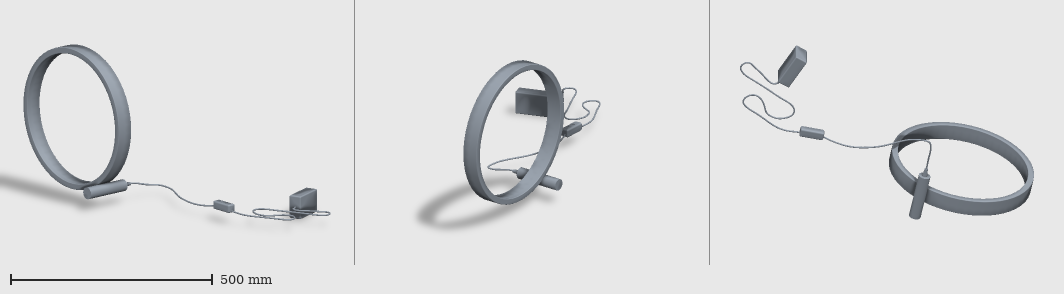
import cadquery as cq
import math

RING_RADIUS = 180.0
RING_WALL = 15.0
RING_DEPTH = 42.0
RING_EDGE = 2.0

POST_DIAMETER = 30.0
POST_LENGTH = 120.0
POST_X = 106.0
POST_Z = -163.0

RELIEF_BASE_RADIUS = 6.5
RELIEF_TIP_RADIUS = 4.0
RELIEF_LENGTH = 22.0

CABLE_RADIUS = 2.0
CABLE_OVERRUN = 2.5
LAMP_CABLE_LOW_Z = -180.0
MAINS_CABLE_Z = -175.0

SWITCH_LENGTH = 60.0
SWITCH_WIDTH = 22.0
SWITCH_HEIGHT = 21.0
SWITCH_START_X = 375.0
SWITCH_Y = 128.0
SWITCH_BASE_Z = -179.0
SWITCH_EDGE = 4.0
SWITCH_INLET_Y = 126.5
SWITCH_INLET_Z = -172.0
ROCKER_LENGTH = 22.5
ROCKER_WIDTH = 8.0
ROCKER_TILT = 2.0
ROCKER_START = 18.5

ADAPTER_LENGTH = 87.0
ADAPTER_WIDTH = 32.0
ADAPTER_HEIGHT = 58.5
ADAPTER_X = 493.0
ADAPTER_Y = 313.0
ADAPTER_TURN = 20.0
ADAPTER_EDGE = 3.0
ADAPTER_BASE_Z = -206.0

POST_RADIUS = POST_DIAMETER / 2
POST_BACK_Y = POST_LENGTH / 2
RELIEF_TIP_Y = POST_BACK_Y + RELIEF_LENGTH
SWITCH_END_X = SWITCH_START_X + SWITCH_LENGTH


def cylinder_along_y(radius, length, x, y_start, z):
    solid = cq.Solid.makeCylinder(radius, length, cq.Vector(x, y_start, z), cq.Vector(0, 1, 0))
    return cq.Workplane(solid)


def make_ring():
    outer = cylinder_along_y(RING_RADIUS, RING_DEPTH, 0, -RING_DEPTH / 2, 0)
    bore = cylinder_along_y(RING_RADIUS - RING_WALL, RING_DEPTH, 0, -RING_DEPTH / 2, 0)
    return outer.cut(bore).edges().fillet(RING_EDGE)


def make_post():
    post = cylinder_along_y(POST_RADIUS, POST_LENGTH, POST_X, -POST_BACK_Y, POST_Z)
    saddle = cylinder_along_y(RING_RADIUS, RING_DEPTH, 0, -RING_DEPTH / 2, 0)
    relief = cq.Solid.makeCone(
        RELIEF_BASE_RADIUS,
        RELIEF_TIP_RADIUS,
        RELIEF_LENGTH,
        cq.Vector(POST_X, POST_BACK_Y, POST_Z),
        cq.Vector(0, 1, 0),
    )
    return post.cut(saddle).union(cq.Workplane(relief))


def sweep_cable(points, start_direction, end_direction):
    start = cq.Vector(*points[0])
    direction = cq.Vector(*start_direction)
    path = cq.Workplane().spline(points, tangents=[start_direction, end_direction])
    section = cq.Workplane(cq.Plane(start, normal=direction)).circle(CABLE_RADIUS)
    return section.sweep(path)


def make_lamp_cable(switch):
    low = LAMP_CABLE_LOW_Z
    outlet_direction = (0, 1, 0)
    inlet_direction = (1, 0.3, 0.2)
    points = [
        (POST_X, RELIEF_TIP_Y, POST_Z),
        (107.0, 118.5, -170.5),
        (110.0, 154.5, -178.5),
        (115.0, 167.0, low),
        (135.0, 170.5, low),
        (162.0, 166.5, low),
        (195.0, 151.0, low),
        (229.0, 134.0, low),
        (268.0, 121.0, low),
        (311.0, 116.0, low),
        (345.0, 119.0, -178.0),
        (SWITCH_START_X + CABLE_OVERRUN, SWITCH_INLET_Y, SWITCH_INLET_Z),
    ]
    return sweep_cable(points, outlet_direction, inlet_direction).cut(switch)


def make_mains_cable(adapter):
    turn = math.radians(ADAPTER_TURN)
    reach = ADAPTER_LENGTH / 2 - CABLE_OVERRUN
    outlet_x = ADAPTER_X + reach * math.sin(turn)
    outlet_y = ADAPTER_Y - reach * math.cos(turn)
    switch_direction = (1, 0, 0)
    adapter_direction = (-1, 1, 0)
    plan = [
        (SWITCH_END_X, SWITCH_Y),
        (464.0, 126.5),
        (487.0, 129.0),
        (527.0, 146.5),
        (556.0, 162.0),
        (582.0, 174.5),
        (591.5, 186.5),
        (589.0, 198.5),
        (566.0, 211.0),
        (549.0, 202.5),
        (536.0, 182.5),
        (527.0, 166.0),
        (515.0, 159.0),
        (496.0, 157.0),
        (479.0, 162.5),
        (464.0, 174.5),
        (463.0, 189.0),
        (472.0, 202.0),
        (496.0, 214.0),
        (536.0, 233.0),
        (587.0, 256.0),
        (609.0, 269.0),
        (618.0, 286.0),
        (601.0, 301.0),
        (587.0, 293.0),
        (567.0, 278.5),
        (541.0, 258.0),
        (529.0, 254.0),
        (518.0, 258.0),
        (outlet_x, outlet_y),
    ]
    points = [(x, y, MAINS_CABLE_Z) for x, y in plan]
    return sweep_cable(points, switch_direction, adapter_direction).cut(adapter)


def rocker_wedge(profile):
    return (
        cq.Workplane("XZ", origin=(ROCKER_START, ROCKER_WIDTH / 2, SWITCH_HEIGHT))
        .polyline(profile)
        .close()
        .extrude(ROCKER_WIDTH)
    )


def make_switch():
    body = (
        cq.Workplane()
        .box(SWITCH_LENGTH, SWITCH_WIDTH, SWITCH_HEIGHT, centered=(False, True, False))
        .edges()
        .fillet(SWITCH_EDGE)
    )
    middle = ROCKER_LENGTH / 2
    raised_half = rocker_wedge([(0, 0), (0, ROCKER_TILT), (middle, 0)])
    sunken_half = rocker_wedge([(middle, 0), (ROCKER_LENGTH, -ROCKER_TILT), (ROCKER_LENGTH, 0)])
    switch = body.union(raised_half).cut(sunken_half)
    return switch.translate((SWITCH_START_X, SWITCH_Y, SWITCH_BASE_Z))


def make_adapter():
    return (
        cq.Workplane()
        .box(ADAPTER_WIDTH, ADAPTER_LENGTH, ADAPTER_HEIGHT, centered=(True, True, False))
        .edges()
        .fillet(ADAPTER_EDGE)
        .rotate((0, 0, 0), (0, 0, 1), ADAPTER_TURN)
        .translate((ADAPTER_X, ADAPTER_Y, ADAPTER_BASE_Z))
    )


ring = make_ring()
post = make_post()
switch = make_switch()
adapter = make_adapter()
lamp_cable = make_lamp_cable(switch)
mains_cable = make_mains_cable(adapter)

result = cq.Compound.makeCompound(
    [ring.val(), post.val(), lamp_cable.val(), switch.val(), mains_cable.val(), adapter.val()]
)